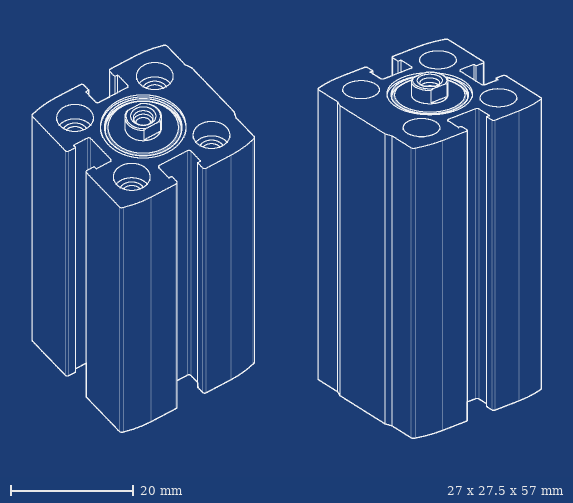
import cadquery as cq
import math


housing_height = 54.5
rod_projection = 2.5
rod_end_z = housing_height + rod_projection

half_width = 13.5
flank_flat_half = 8.0
flank_arc_radius = 17.0
corner_radius = 0.5
crown_y = 14.0
crown_half_width = 6.0
crown_base_half_width = 7.2

slot_opening = 5.2
slot_inner_width = 6.4
slot_lip = 1.8
slot_depth = 4.95
slot_floor_radius = 0.4
slot_edge_radius = 0.4

hole_pitch = 16.0
hole_diameter = 3.3
hole_counterbore_diameter = 6.0
hole_counterbore_depth = 3.5
hole_countersink_diameter = 4.13

cap_outer_diameter = 14.0
cap_recess = 0.2
rim_depth = 0.5
rim_top_diameter = 12.7
groove_outer_diameter = 12.6
groove_inner_diameter = 12.4
groove_depth = 0.7
cap_cone_diameter = 11.8
cap_edge_chamfer = 0.15

rod_diameter = 6.0
rod_length = 20.0
rod_end_chamfer = 0.2
flat_width = 5.0
flat_end_z = housing_height

thread_mouth_diameter = 4.13
thread_entry_diameter = 3.24
thread_entry_depth = 1.3
thread_core_diameter = 2.46
thread_depth = 6.0
drill_tip_angle = 118.0


def revolve_profile(points):
    """Solid of revolution about Z from (radius, z) points."""
    return cq.Workplane("XZ").polyline(points).close().revolve(360, (0, 0, 0), (0, 1, 0))


def flank_x(y):
    """X of the curved part of the flank at height y."""
    rise = y - flank_flat_half
    return half_width - flank_arc_radius + math.sqrt(flank_arc_radius**2 - rise**2)


def make_half_profile():
    """The +X half of the extrusion, without slots and holes."""
    arc_end_y = half_width - corner_radius
    arc_end_x = flank_x(arc_end_y)
    arc_mid_y = (flank_flat_half + arc_end_y) / 2
    arc_mid_x = flank_x(arc_mid_y)
    corner_inset = corner_radius * (1 - math.sqrt(0.5))
    corner_mid_x = arc_end_x - corner_inset
    corner_mid_y = half_width - corner_inset
    edge_end_x = arc_end_x - corner_radius
    return (
        cq.Workplane("XY")
        .moveTo(0, -half_width)
        .lineTo(edge_end_x, -half_width)
        .threePointArc((corner_mid_x, -corner_mid_y), (arc_end_x, -arc_end_y))
        .threePointArc((arc_mid_x, -arc_mid_y), (half_width, -flank_flat_half))
        .lineTo(half_width, flank_flat_half)
        .threePointArc((arc_mid_x, arc_mid_y), (arc_end_x, arc_end_y))
        .threePointArc((corner_mid_x, corner_mid_y), (edge_end_x, half_width))
        .lineTo(crown_base_half_width, half_width)
        .lineTo(crown_half_width, crown_y)
        .lineTo(0, crown_y)
        .close()
        .extrude(housing_height)
    )


def make_slot(angle):
    """T-slot cutter for the -Y side, turned about Z by the angle."""
    half_opening = slot_opening / 2
    half_inner = slot_inner_width / 2
    outer_y = -half_width
    lip_y = outer_y + slot_lip
    floor_y = outer_y + slot_depth
    mouth_half = half_opening + slot_edge_radius
    edge_inset = slot_edge_radius * (1 - math.sqrt(0.5))
    edge_mid = (half_opening + edge_inset, outer_y + edge_inset)
    slot = (
        cq.Workplane("XY")
        .moveTo(-mouth_half, outer_y)
        .threePointArc((-edge_mid[0], edge_mid[1]), (-half_opening, outer_y + slot_edge_radius))
        .lineTo(-half_opening, lip_y)
        .lineTo(-half_inner, lip_y)
        .lineTo(-half_inner, floor_y)
        .lineTo(half_inner, floor_y)
        .lineTo(half_inner, lip_y)
        .lineTo(half_opening, lip_y)
        .lineTo(half_opening, outer_y + slot_edge_radius)
        .threePointArc(edge_mid, (mouth_half, outer_y))
        .close()
        .extrude(housing_height)
        .edges("|Z and >Y")
        .fillet(slot_floor_radius)
    )
    return slot.rotate((0, 0, 0), (0, 0, 1), angle)


def make_mounting_hole():
    """Through hole with a countersink at the floor of its counterbore."""
    hole_radius = hole_diameter / 2
    sink_radius = hole_countersink_diameter / 2
    bore_radius = hole_counterbore_diameter / 2
    floor_z = housing_height - hole_counterbore_depth
    return revolve_profile([
        (0, 0),
        (hole_radius, 0),
        (hole_radius, floor_z - (sink_radius - hole_radius)),
        (sink_radius, floor_z),
        (bore_radius, floor_z),
        (bore_radius, housing_height),
        (0, housing_height),
    ])


def make_cap_relief():
    """Material above the stepped face of the bearing cap."""
    outer_radius = cap_outer_diameter / 2
    cap_cone_radius = cap_cone_diameter / 2
    groove_outer_radius = groove_outer_diameter / 2
    face_z = housing_height - cap_recess
    groove_z = housing_height - groove_depth
    return revolve_profile([
        (0, face_z),
        (cap_cone_radius - cap_edge_chamfer, face_z),
        (cap_cone_radius, face_z - cap_edge_chamfer),
        (groove_inner_diameter / 2, groove_z),
        (groove_outer_radius, groove_z),
        (groove_outer_radius, face_z),
        (rim_top_diameter / 2, face_z),
        (outer_radius, housing_height - rim_depth),
        (outer_radius, housing_height),
        (0, housing_height),
    ])


def make_rod_blank():
    """Plain cylinder with the outer size of the rod."""
    return (
        cq.Workplane("XY", origin=(0, 0, rod_end_z - rod_length))
        .circle(rod_diameter / 2)
        .extrude(rod_length)
    )


def make_flat_cutter():
    """Cutter for the +X wrench flat, with a sloping run-out at its lower end."""
    half_flat = flat_width / 2
    rod_radius = rod_diameter / 2
    runout_z = flat_end_z - cap_recess
    return (
        cq.Workplane("XZ")
        .polyline([
            (half_flat, rod_end_z),
            (half_flat, flat_end_z),
            (rod_radius, runout_z),
            (rod_radius, rod_end_z),
        ])
        .close()
        .extrude(rod_radius, both=True)
    )


def make_thread_hole():
    """Blind threaded hole with a chamfered mouth, a wider entry and a drill tip."""
    mouth_radius = thread_mouth_diameter / 2
    entry_radius = thread_entry_diameter / 2
    core_radius = thread_core_diameter / 2
    entry_z = rod_end_z - thread_entry_depth
    core_end_z = rod_end_z - thread_depth
    tip_length = core_radius / math.tan(math.radians(drill_tip_angle / 2))
    return revolve_profile([
        (0, core_end_z - tip_length),
        (core_radius, core_end_z),
        (core_radius, entry_z - (entry_radius - core_radius)),
        (entry_radius, entry_z),
        (entry_radius, rod_end_z - (mouth_radius - entry_radius)),
        (mouth_radius, rod_end_z),
        (0, rod_end_z),
    ])


half_housing = make_half_profile()
housing = half_housing.union(half_housing.mirror("YZ"), clean=True)
for slot_angle in (0, 90, -90):
    housing = housing.cut(make_slot(slot_angle))
mounting_hole = make_mounting_hole()
for side_x in (-1, 1):
    for side_y in (-1, 1):
        hole_place = (side_x * hole_pitch / 2, side_y * hole_pitch / 2, 0)
        housing = housing.cut(mounting_hole.translate(hole_place))
housing = housing.cut(make_cap_relief()).cut(make_rod_blank())

rod = make_rod_blank().faces(">Z").chamfer(rod_end_chamfer)
flat_cutter = make_flat_cutter()
rod = rod.cut(flat_cutter).cut(flat_cutter.mirror("YZ")).cut(make_thread_hole())

result = cq.Compound.makeCompound([housing.val(), rod.val()])